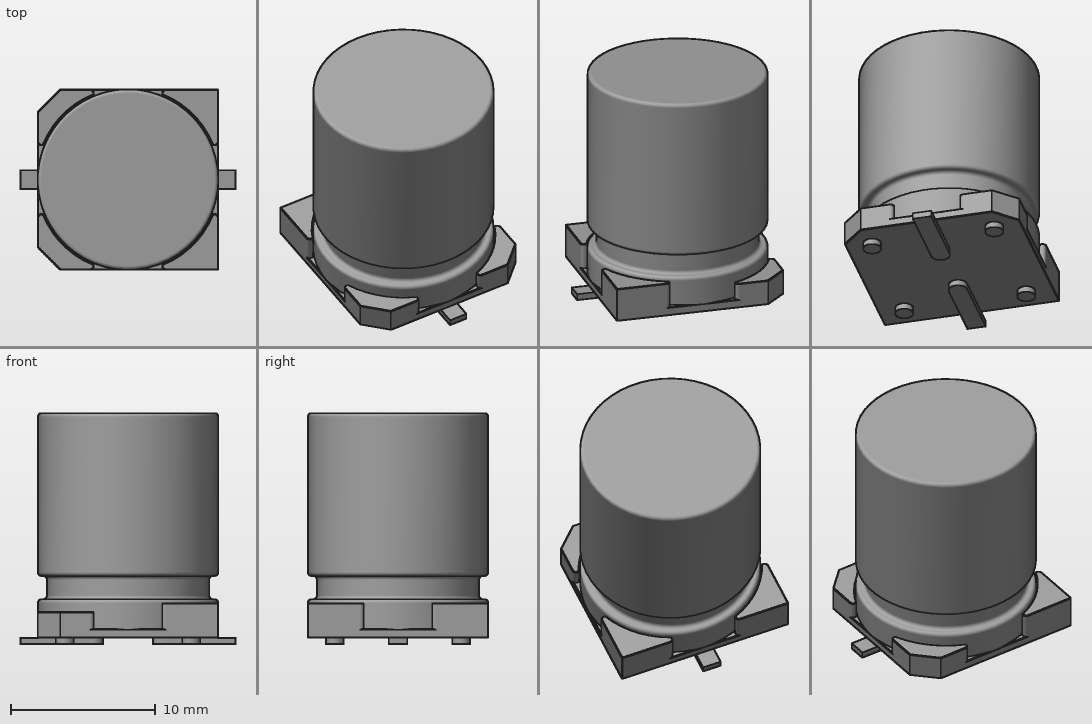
import cadquery as cq
import math

total_height = 16.0
lead_span = 14.9
can_diameter = 12.5
base_size = can_diameter

can_radius = can_diameter / 2
neck_radius = 11.25 / 2
can_round = 0.25
neck_bottom = 3.38
neck_top = 4.46

base_bottom = 0.45
floor_top = 1.05
short_post_top = 2.24
tall_post_top = 2.85
corner_cut = 1.55
post_gap = 4.74
post_end_round = 0.25
post_clearance = 0.08
post_inner_round = 0.06
edge_break = 0.05

lead_width = 1.31
lead_gap = 3.45
foot_diameter = 1.25
foot_spacing = 8.74


def make_can():
    """Revolve the can outline, from just inside the base plate up to the rounded top."""
    groove_bottom = neck_bottom - can_round
    groove_top = neck_top + can_round
    groove_edge = neck_radius + can_round
    rim_edge = can_radius - can_round
    bend = can_round * math.sqrt(0.5)

    return (
        cq.Workplane("XZ")
        .moveTo(0, floor_top - edge_break)
        .lineTo(can_radius, floor_top - edge_break)
        .lineTo(can_radius, groove_bottom - can_round)
        .threePointArc(
            (rim_edge + bend, groove_bottom - can_round + bend),
            (rim_edge, groove_bottom),
        )
        .lineTo(groove_edge, groove_bottom)
        .threePointArc((groove_edge - bend, neck_bottom - bend), (neck_radius, neck_bottom))
        .lineTo(neck_radius, neck_top)
        .threePointArc((groove_edge - bend, neck_top + bend), (groove_edge, groove_top))
        .lineTo(rim_edge, groove_top)
        .threePointArc(
            (rim_edge + bend, groove_top + can_round - bend),
            (can_radius, groove_top + can_round),
        )
        .lineTo(can_radius, total_height - can_round)
        .threePointArc(
            (rim_edge + bend, total_height - can_round + bend),
            (rim_edge, total_height),
        )
        .lineTo(0, total_height)
        .close()
        .revolve(360, (0, 0, 0), (0, 1, 0))
    )


def base_block(bottom, top):
    """Square block with the two -X corners cut off and the +X corners lightly broken."""
    return (
        cq.Workplane("XY", origin=(0, 0, bottom))
        .rect(base_size, base_size)
        .extrude(top - bottom)
        .edges("|Z and <X")
        .chamfer(corner_cut)
        .edges("|Z and >X")
        .chamfer(edge_break)
    )


def make_plate():
    return base_block(base_bottom, floor_top).faces("<Z or >Z").edges().chamfer(edge_break)


def make_post(x_side, y_side, top):
    """Corner post with rounded ends, hollowed to clear the can."""
    bottom = base_bottom + edge_break
    height = top - bottom
    inner = post_gap / 2
    size = base_size / 2 - inner
    floor = cq.Workplane("XY", origin=(0, 0, bottom))
    hollow = floor.circle(can_radius + post_clearance).extrude(height)

    corner = (
        floor.center(inner, inner)
        .rect(size, size, centered=False)
        .extrude(height)
        .cut(hollow)
        .edges("|Z and ((<X and (not >Y)) or ((not >X) and <Y))")
        .fillet(post_inner_round)
        .edges("|Z and ((<X and >Y) or (>X and <Y))")
        .fillet(post_end_round)
    )
    if x_side < 0:
        corner = corner.mirror("YZ")
    if y_side < 0:
        corner = corner.mirror("XZ")
    return base_block(bottom, top).intersect(corner).faces(">Z").edges().chamfer(edge_break)


def make_lead(x_side):
    """Flat lead with a round inner end, reaching out past the base."""
    end_radius = lead_width / 2
    round_center = lead_gap / 2 + end_radius
    length = lead_span / 2 - round_center
    strip = (
        cq.Workplane("XY")
        .center(x_side * (round_center + length / 2), 0)
        .rect(length, lead_width)
        .extrude(base_bottom)
    )
    round_end = (
        cq.Workplane("XY")
        .center(x_side * round_center, 0)
        .circle(end_radius)
        .extrude(base_bottom)
    )
    return strip.union(round_end)


def make_feet():
    return (
        cq.Workplane("XY")
        .rect(foot_spacing, foot_spacing, forConstruction=True)
        .vertices()
        .circle(foot_diameter / 2)
        .extrude(base_bottom)
    )


result = make_plate().union(make_can()).union(make_feet())
for x_side, post_top in ((-1, short_post_top), (1, tall_post_top)):
    result = result.union(make_lead(x_side))
    for y_side in (-1, 1):
        result = result.union(make_post(x_side, y_side, post_top))